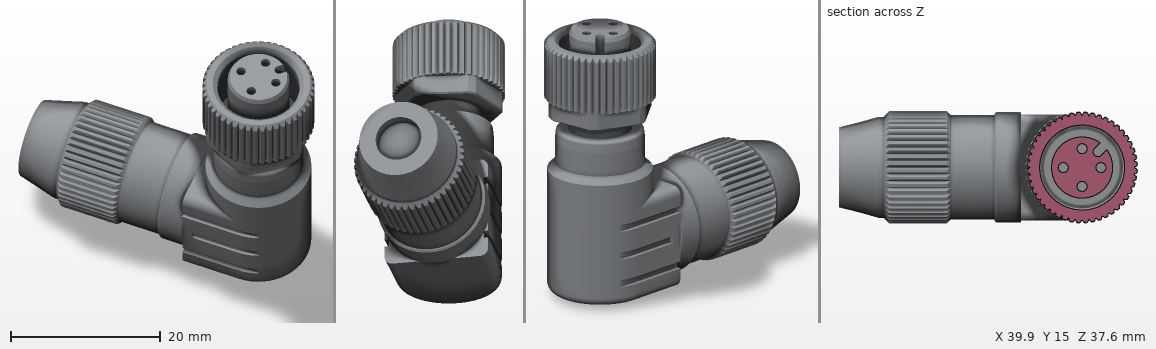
import cadquery as cq
import math


CABLE_FACE_X = -32.4
CONE_END_X = -27.13
GRIP_START_X = -26.4
GRIP_END_X = -17.47
RING_START_X = -11.65
BODY_START_X = -8.1
CABLE_FACE_RADIUS = 5.35
CLAMP_RADIUS = 6.75
TUBE_RADIUS = 7.0
RING_RADIUS = 7.38
RING_CHAMFER = 0.25
CABLE_BORE_RADIUS = 3.1
CABLE_BORE_DEPTH = 1.9

KNURL_RADIUS = 7.5
KNURL_ROOT_RADIUS = 7.0
KNURL_TEETH = 48
TOOTH_TIP_SHARE = 0.4
GRIP_FRONT_CHAMFER = 0.7
GRIP_BACK_CHAMFER = 0.5
NUT_CHAMFER = 0.6

BODY_RADIUS = 7.05
BODY_CENTER_Z = 0.08
BODY_EDGE_FILLET = 1.1
SHOULDER_Z = 10.3
COLLAR_BASE_Z = 11.25
COLLAR_TAPER_Z = 14.52
COLLAR_TOP_Z = 16.0
COLLAR_RADIUS = 6.02
COLLAR_TOP_RADIUS = 5.85
COLLAR_FILLET = 0.4

GROOVE_WIDTH = 1.0
GROOVE_DEPTH = 0.65
GROOVE_PITCH = 3.95
GROOVE_END_X = 2.67
MIDDLE_GROOVE_START_X = -6.62

HEX_BOTTOM_Z = 18.07
HEX_SIDES = 6
NUT_KNURL_Z = 20.62
NUT_TOP_Z = 28.55
HEX_ACROSS_FLATS = 13.0
HEX_CORNER_RADIUS = 7.2
HEX_ANGLE = 37.5
HEX_BOTTOM_CHAMFER = 0.2
NUT_BORE_RADIUS = 5.5
NUT_BORE_CHAMFER = 0.6

NECK_RADIUS = 4.25
INSERT_RADIUS = 4.1
INSERT_TOP_Z = 30.08
INSERT_CHAMFER_HEIGHT = 0.55
INSERT_CHAMFER_WIDTH = 0.28
CONTACT_COUNT = 4
CONTACT_CIRCLE_RADIUS = 2.5
CONTACT_RADIUS = 0.65
CONTACT_DEPTH = 4.0
KEY_ANGLE = 45
KEY_CENTER_RADIUS = 3.0
KEY_WIDTH = 1.25


def cylinder_z(radius, z_start, z_end):
    return cq.Workplane("XY").workplane(offset=z_start).circle(radius).extrude(z_end - z_start)


def cylinder_x(radius, x_start, x_end):
    return cq.Workplane("YZ").workplane(offset=x_start).circle(radius).extrude(x_end - x_start)


def turned(axis, profile):
    """Solid of revolution about X or Z from (station along the axis, radius) points."""
    if axis == "X":
        return cq.Workplane("XZ").polyline(profile).close().revolve(360, (0, 0), (1, 0))
    points = [(radius, height) for height, radius in profile]
    return cq.Workplane("XZ").polyline(points).close().revolve(360, (0, 0), (0, 1))


def toothed_bar(plane, start, end):
    """Bar of flat-topped knurl teeth; one of the V grooves between them lies on the first local axis."""
    pitch = 2 * math.pi / KNURL_TEETH
    half_tip = pitch * TOOTH_TIP_SHARE / 2
    points = []
    for tooth in range(KNURL_TEETH):
        root_angle = tooth * pitch
        tip_angle = root_angle + pitch / 2
        for radius, angle in (
            (KNURL_ROOT_RADIUS, root_angle),
            (KNURL_RADIUS, tip_angle - half_tip),
            (KNURL_RADIUS, tip_angle + half_tip),
        ):
            points.append((radius * math.cos(angle), radius * math.sin(angle)))
    return cq.Workplane(plane).workplane(offset=start).polyline(points).close().extrude(end - start)


def cable_end():
    """Clamp cone, knurled grip, tube and ring along X, with a blind cable opening."""
    shell = turned("X", [
        (CABLE_FACE_X, 0),
        (CABLE_FACE_X, CABLE_FACE_RADIUS),
        (CONE_END_X, CLAMP_RADIUS),
        (GRIP_END_X, CLAMP_RADIUS),
        (GRIP_END_X, TUBE_RADIUS),
        (RING_START_X, TUBE_RADIUS),
        (RING_START_X, RING_RADIUS - RING_CHAMFER),
        (RING_START_X + RING_CHAMFER, RING_RADIUS),
        (BODY_START_X, RING_RADIUS),
        (BODY_START_X, 0),
    ])
    grip_blank = cylinder_x(KNURL_RADIUS, GRIP_START_X, GRIP_END_X)
    grip_blank = grip_blank.faces("<X").chamfer(GRIP_FRONT_CHAMFER).faces(">X").chamfer(GRIP_BACK_CHAMFER)
    grip = grip_blank.intersect(toothed_bar("YZ", GRIP_START_X, GRIP_END_X))
    opening = cylinder_x(CABLE_BORE_RADIUS, CABLE_FACE_X, CABLE_FACE_X + CABLE_BORE_DEPTH)
    return shell.union(grip).cut(opening)


def elbow():
    """Square arm with rounded edges running into an upright round post with a collar."""
    bottom_z = BODY_CENTER_Z - BODY_RADIUS
    arm = (
        cq.Workplane("YZ")
        .workplane(offset=BODY_START_X)
        .center(0, BODY_CENTER_Z)
        .rect(2 * BODY_RADIUS, 2 * BODY_RADIUS)
        .extrude(-BODY_START_X)
        .edges("|X")
        .fillet(BODY_EDGE_FILLET)
    )
    post = cylinder_z(BODY_RADIUS, bottom_z, SHOULDER_Z).faces("<Z").edges().fillet(BODY_EDGE_FILLET)
    collar = turned("Z", [
        (SHOULDER_Z, 0),
        (SHOULDER_Z, BODY_RADIUS),
        (COLLAR_BASE_Z, COLLAR_RADIUS),
        (COLLAR_TAPER_Z, COLLAR_RADIUS),
        (COLLAR_TOP_Z, COLLAR_TOP_RADIUS),
        (COLLAR_TOP_Z, 0),
    ]).faces(">Z").edges().fillet(COLLAR_FILLET)
    return arm.union(post).union(collar)


def side_grooves():
    """Three level grooves on each side; the middle one stops short of the ring."""
    grooves = cq.Workplane("XY")
    for row in (-1, 0, 1):
        start_x = BODY_START_X if row else MIDDLE_GROOVE_START_X
        length = GROOVE_END_X - start_x
        for side in (-1, 1):
            center = (
                start_x + length / 2,
                side * BODY_RADIUS,
                BODY_CENTER_Z + row * GROOVE_PITCH,
            )
            groove = cq.Workplane("XY").box(length, 2 * GROOVE_DEPTH, GROOVE_WIDTH).translate(center)
            grooves = grooves.add(groove)
    return grooves.combine()


def coupling_nut():
    """Knurled nut with an open bore above and a corner-rounded hexagon below."""
    hexagon = (
        cq.Workplane("XY")
        .workplane(offset=HEX_BOTTOM_Z)
        .polygon(HEX_SIDES, HEX_ACROSS_FLATS / math.cos(math.pi / HEX_SIDES))
        .extrude(NUT_KNURL_Z - HEX_BOTTOM_Z)
        .rotate((0, 0, 0), (0, 0, 1), HEX_ANGLE)
    )
    corner_limit = cylinder_z(HEX_CORNER_RADIUS, HEX_BOTTOM_Z, NUT_KNURL_Z)
    hexagon = hexagon.intersect(corner_limit).faces("<Z").chamfer(HEX_BOTTOM_CHAMFER)
    knurl_blank = cylinder_z(KNURL_RADIUS, NUT_KNURL_Z, NUT_TOP_Z).faces(">Z").chamfer(NUT_CHAMFER)
    knurl = knurl_blank.intersect(toothed_bar("XY", NUT_KNURL_Z, NUT_TOP_Z))
    bore = turned("Z", [
        (NUT_KNURL_Z, 0),
        (NUT_KNURL_Z, NUT_BORE_RADIUS),
        (NUT_TOP_Z - NUT_BORE_CHAMFER, NUT_BORE_RADIUS),
        (NUT_TOP_Z, NUT_BORE_RADIUS + NUT_BORE_CHAMFER),
        (NUT_TOP_Z, 0),
    ])
    return hexagon.union(knurl).cut(bore)


def plug_insert():
    """Contact carrier with four contact holes and a keyway open to its rim."""
    neck = cylinder_z(NECK_RADIUS, COLLAR_TOP_Z, HEX_BOTTOM_Z)
    carrier = turned("Z", [
        (HEX_BOTTOM_Z, 0),
        (HEX_BOTTOM_Z, INSERT_RADIUS),
        (INSERT_TOP_Z - INSERT_CHAMFER_HEIGHT, INSERT_RADIUS),
        (INSERT_TOP_Z, INSERT_RADIUS - INSERT_CHAMFER_WIDTH),
        (INSERT_TOP_Z, 0),
    ])
    top = cq.Workplane("XY").workplane(offset=INSERT_TOP_Z)
    contacts = (
        top.polarArray(CONTACT_CIRCLE_RADIUS, 0, 360, CONTACT_COUNT)
        .circle(CONTACT_RADIUS)
        .extrude(-CONTACT_DEPTH)
    )
    key_length = 2 * (INSERT_RADIUS - KEY_CENTER_RADIUS) + KEY_WIDTH
    keyway = (
        top.center(KEY_CENTER_RADIUS - KEY_WIDTH / 2 + key_length / 2, 0)
        .slot2D(key_length, KEY_WIDTH)
        .extrude(NUT_KNURL_Z - INSERT_TOP_Z)
        .rotate((0, 0, 0), (0, 0, 1), KEY_ANGLE)
    )
    return neck.union(carrier.cut(contacts).cut(keyway))


body = elbow().cut(side_grooves())
result = body.union(cable_end()).union(coupling_nut()).union(plug_insert())